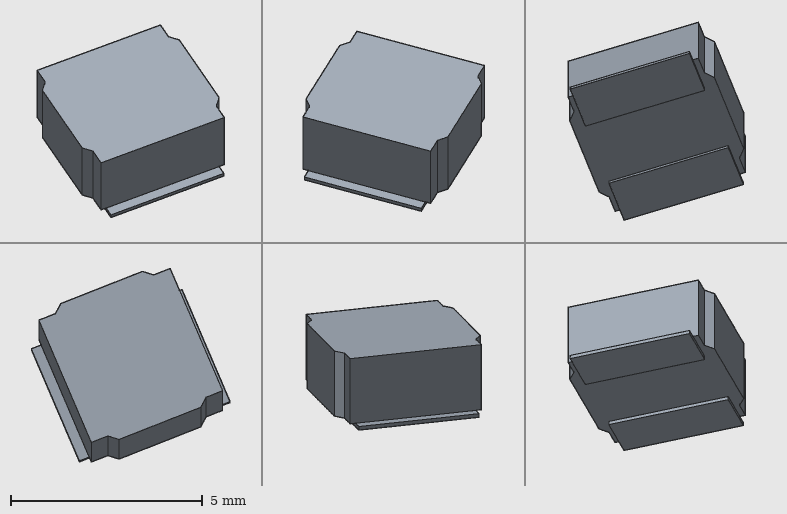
import cadquery as cq

overall_length = 4.25
overall_width = 4.0
overall_height = 1.9

pad_length = 1.2
pad_width = 3.3
pad_thickness = 0.1

housing_length = 3.7
shoulder_width = 3.6
raised_base_length = 2.77
raised_top_length = 2.305
housing_height = overall_height - pad_thickness


def make_housing():
    """Twelve-sided prism standing on top of the pads."""
    half_length = housing_length / 2
    half_shoulder = shoulder_width / 2
    half_base = raised_base_length / 2
    half_top = raised_top_length / 2
    half_width = overall_width / 2
    front_edge = [
        (-half_length, -half_shoulder),
        (-half_base, -half_shoulder),
        (-half_top, -half_width),
        (half_top, -half_width),
        (half_base, -half_shoulder),
        (half_length, -half_shoulder),
    ]
    back_edge = [(-x, -y) for x, y in front_edge]
    return (
        cq.Workplane("XY")
        .workplane(offset=pad_thickness)
        .polyline(front_edge + back_edge)
        .close()
        .extrude(housing_height)
    )


def make_pad(side):
    """Flat terminal pad, flush with the overall end at side = -1 or +1 along X."""
    center_x = side * (overall_length - pad_length) / 2
    return (
        cq.Workplane("XY")
        .center(center_x, 0)
        .rect(pad_length, pad_width)
        .extrude(pad_thickness)
    )


housing = make_housing()
pads = [make_pad(side) for side in (-1, 1)]

result = cq.Compound.makeCompound([housing.val(), *[pad.val() for pad in pads]])